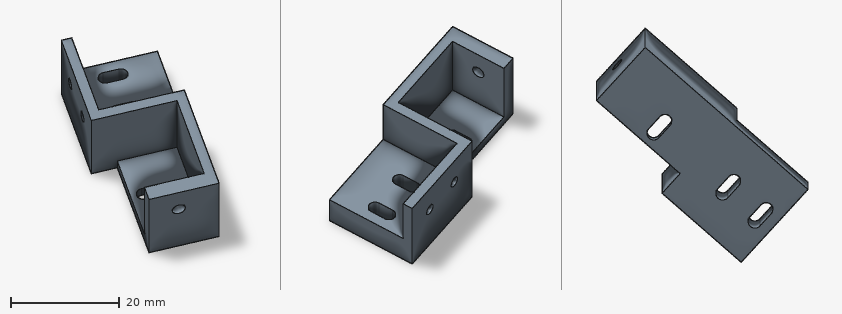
import cadquery as cq

length = 40.3
depth = 18.5
height = 16.0

wall = 2.0
end_wall = 3.0
left_length = 19.6
left_floor = 6.0
right_floor = 2.0
right_front = 5.0

slot_width = 2.5
slot_length = 5.6
slot_y = 9.0
slot_xs = (3.25, 11.25, 28.3)

front_hole_diameter = 2.1
front_hole_z = 10.0
front_hole_xs = (5.75, 13.8)

end_hole_diameter = 2.5
end_hole_y = (right_front + depth - wall) / 2
end_hole_z = 11.0


def box(x_range, y_range, z_range):
    """Box spanning the given (start, end) range on each axis."""
    sizes = [end - start for start, end in (x_range, y_range, z_range)]
    corner = (x_range[0], y_range[0], z_range[0])
    return cq.Workplane("XY").box(*sizes, centered=False).translate(corner)


left_block = box((0, left_length), (0, depth), (0, height))
right_block = box((left_length, length), (right_front, depth), (0, height))
left_bay = box((0, left_length - wall), (wall, depth), (left_floor, height))
right_bay = box(
    (left_length, length - end_wall), (right_front, depth - wall), (right_floor, height)
)
bracket = left_block.union(right_block).cut(left_bay).cut(right_bay)

slots = (
    cq.Workplane("XY")
    .pushPoints([(x, slot_y) for x in slot_xs])
    .slot2D(slot_length, slot_width, 90)
    .extrude(left_floor)
)

front_holes = (
    cq.Workplane("XZ")
    .pushPoints([(x, front_hole_z) for x in front_hole_xs])
    .circle(front_hole_diameter / 2)
    .extrude(-wall)
)

end_hole = (
    cq.Workplane("YZ", origin=(length - end_wall, 0, 0))
    .center(end_hole_y, end_hole_z)
    .circle(end_hole_diameter / 2)
    .extrude(end_wall)
)

result = bracket.cut(slots).cut(front_holes).cut(end_hole)